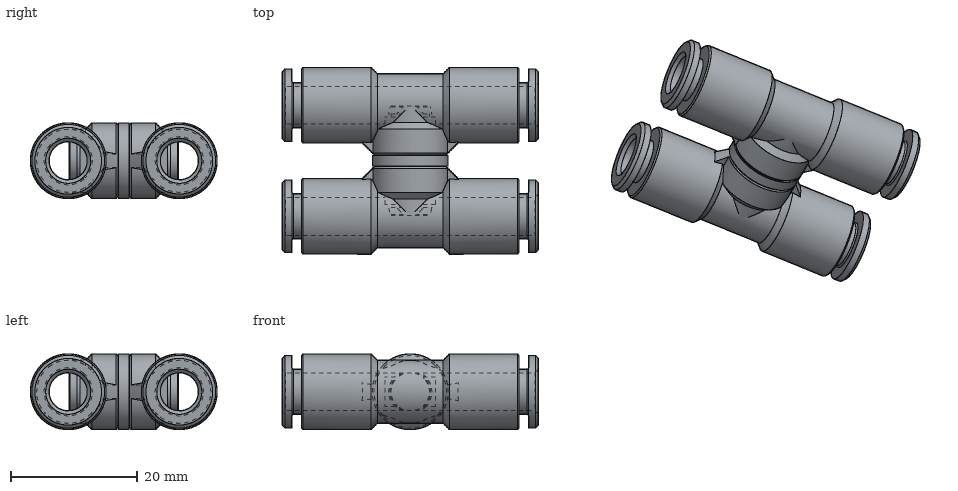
import cadquery as cq

total_length = 40.6
tube_spacing = 17.6
body_radius = 6.0
waist_radius = 5.0
step = 1.0
half_length = total_length / 2
tube_y = tube_spacing / 2

sleeve_start = 6.2
sleeve_end = 17.2
sleeve_chamfer = 0.25
neck_radius = 3.57
flange_radius = 5.75
flange_width = 1.55
flange_chamfer = 0.5
neck_flare = 0.25
bore_radius = 3.0
bore_chamfer = neck_radius - bore_radius

branch_shoulder = 5.05
groove_outer = 1.2
ring_half_width = 0.85
groove_depth = 0.3

gusset_half_angle = 10.5
gusset_end = 3.65

chamber_half_length = 4.0
chamber_wall = 1.85
barb_root = 1.42
barb_tip = 0.12
barb_root_radius = 3.4
stem_radius = 3.05
barb_tip_chamfer = 0.15


def make_tube():
    """Outer shape of one tube on the X axis, both ends alike."""
    flange_back = half_length - flange_width
    right_side = [
        (sleeve_start - step, waist_radius),
        (sleeve_start, body_radius),
        (sleeve_end - sleeve_chamfer, body_radius),
        (sleeve_end, body_radius - sleeve_chamfer),
        (sleeve_end, neck_radius),
        (flange_back - neck_flare, neck_radius),
        (flange_back, neck_radius + neck_flare),
        (flange_back, flange_radius),
        (half_length - flange_chamfer, flange_radius),
        (half_length, flange_radius - flange_chamfer),
        (half_length, 0),
    ]
    left_side = [(-x, r) for x, r in reversed(right_side)]
    profile = cq.Workplane("XZ").polyline(left_side + right_side).close()
    return profile.revolve(360, (0, 0, 0), (1, 0, 0))


def make_branch():
    """Branch on the Y axis with two grooves; its waists end on the tube axes."""
    groove_radius = body_radius - groove_depth
    far_side = [
        (ring_half_width, body_radius),
        (ring_half_width, groove_radius),
        (groove_outer - groove_depth, groove_radius),
        (groove_outer, body_radius),
        (branch_shoulder, body_radius),
        (branch_shoulder + step, waist_radius),
        (tube_y, waist_radius),
        (tube_y, 0),
    ]
    near_side = [(-y, r) for y, r in reversed(far_side)]
    profile = cq.Workplane("YZ").polyline(near_side + far_side).close()
    return profile.revolve(360, (0, 0, 0), (1, 0, 0))


def make_gusset():
    """Wedge swept about the Y axis on the +X, +Y side; its slope continues the groove flank."""
    reach = gusset_end - groove_outer
    profile = cq.Workplane("XY").polyline([
        (waist_radius, groove_outer),
        (body_radius, groove_outer),
        (body_radius + reach, gusset_end),
        (waist_radius, gusset_end),
    ]).close()
    wedge = profile.revolve(2 * gusset_half_angle, (0, 0, 0), (0, 1, 0))
    return wedge.rotate((0, 0, 0), (0, 1, 0), -gusset_half_angle)


def make_bore():
    """Bores from both ends of a tube on the X axis, with the cut-off centre chamber."""
    bore = cq.Workplane("YZ").circle(bore_radius).extrude(half_length, both=True)
    for end in (-1, 1):
        mouth = cq.Workplane("XY").polyline([
            (end * half_length, 0),
            (end * half_length, bore_radius + bore_chamfer),
            (end * (half_length - bore_chamfer), bore_radius),
            (end * (half_length - bore_chamfer), 0),
        ]).close().revolve(360, (0, 0, 0), (1, 0, 0))
        bore = bore.union(mouth)
    wall = cq.Workplane("XY").box(2 * chamber_half_length, body_radius, 2 * body_radius)
    wall = wall.translate((0, -chamber_wall - body_radius / 2, 0))
    return bore.cut(wall)


def make_barb():
    """Stem and tapered barb on the Y axis, for a tube axis through the origin."""
    tip_radius = stem_radius + barb_tip_chamfer
    profile = cq.Workplane("XY").polyline([
        (0, -bore_radius),
        (stem_radius, -bore_radius),
        (stem_radius, -barb_root),
        (barb_root_radius, -barb_root),
        (tip_radius, -barb_tip - barb_tip_chamfer),
        (stem_radius, -barb_tip),
        (0, -barb_tip),
    ]).close()
    return profile.revolve(360, (0, 0, 0), (0, 1, 0))


def on_both_tubes(shape):
    """Place a shape on the +Y tube and mirror it onto the -Y tube."""
    placed = shape.translate((0, tube_y, 0))
    return placed.union(placed.mirror("XZ"))


gusset = make_gusset()
gussets = gusset.union(gusset.mirror("YZ"))
gussets = gussets.union(gussets.mirror("XZ"))

result = on_both_tubes(make_tube()).union(make_branch()).union(gussets)
result = result.cut(on_both_tubes(make_bore()))
result = result.union(on_both_tubes(make_barb()))